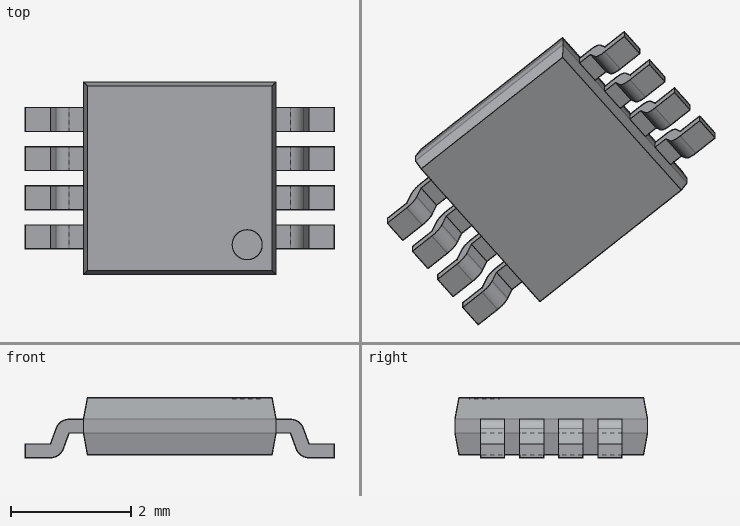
import cadquery as cq
import math

span_x = 5.14
total_height = 1.0

lead_thickness = 0.23

body_side = 3.2
body_height = 0.95
taper_inset = 0.065
band_height = lead_thickness
body_bottom = total_height - body_height
half_height = (body_height - band_height) / 2
band_bottom = body_bottom + half_height
band_top = band_bottom + band_height

leads_per_side = 4
lead_row_length = 1.95
lead_pitch = lead_row_length / (leads_per_side - 1)
lead_width = 0.4
lead_angle = math.radians(70)
bend_radius = lead_thickness
foot_length = 0.42

marker_x = 1.12
marker_y = -1.105
marker_diameter = 0.5
marker_thickness = 0.02
marker_sink = 0.005
recess_depth = marker_thickness + marker_sink


def make_tapered_half(base_z, direction):
    """Tapered slab from the band edge at base_z, going up (+1) or down (-1)."""
    top_side = body_side - 2 * taper_inset
    return (
        cq.Workplane("XY", origin=(0, 0, base_z))
        .rect(body_side, body_side)
        .workplane(offset=direction * half_height)
        .rect(top_side, top_side)
        .loft(ruled=True)
    )


def make_disc(diameter, thickness):
    """Disc at the marker position, standing on the floor of the recess."""
    floor_z = total_height - recess_depth
    return (
        cq.Workplane("XY", origin=(marker_x, marker_y, floor_z))
        .circle(diameter / 2)
        .extrude(thickness)
    )


def make_housing():
    band = (
        cq.Workplane("XY", origin=(0, 0, band_bottom))
        .rect(body_side, body_side)
        .extrude(band_height)
    )
    recess = make_disc(marker_diameter, recess_depth)
    upper_half = make_tapered_half(band_top, 1)
    lower_half = make_tapered_half(band_bottom, -1)
    return band.union(upper_half).union(lower_half).cut(recess)


def make_lead(y_center):
    """Lead on the +X side: each bend is sharp inside and round outside."""
    tip_x = span_x / 2
    root_x = body_side / 2

    leg_width_x = lead_thickness / math.sin(lead_angle)

    def leg_shift(rise):
        """How far the leg leans towards the housing over a given rise."""
        return rise / math.tan(lead_angle)

    foot_corner_x = tip_x - foot_length
    shoulder_outside_x = foot_corner_x - leg_shift(band_top - lead_thickness)
    shoulder_inside_x = foot_corner_x - leg_width_x - leg_shift(band_bottom - lead_thickness)
    heel_x = foot_corner_x - leg_width_x + leg_shift(lead_thickness)

    outline = [
        (root_x, band_bottom),
        (root_x, band_top),
        (shoulder_outside_x, band_top),
        (foot_corner_x, lead_thickness),
        (tip_x, lead_thickness),
        (tip_x, 0),
        (heel_x, 0),
        (shoulder_inside_x, band_bottom),
    ]
    sharp_lead = (
        cq.Workplane("XZ", origin=(0, y_center + lead_width / 2, 0))
        .polyline(outline)
        .close()
        .extrude(lead_width)
    )
    shoulder = cq.selectors.NearestToPointSelector((shoulder_outside_x, y_center, band_top))
    heel = cq.selectors.NearestToPointSelector((heel_x, y_center, 0))
    return sharp_lead.edges(shoulder + heel).fillet(bend_radius)


housing = make_housing()
marker = make_disc(marker_diameter, marker_thickness)

leads = []
for index in range(leads_per_side):
    y_center = (index - (leads_per_side - 1) / 2) * lead_pitch
    lead = make_lead(y_center)
    leads.append(lead.val())
    leads.append(lead.mirror("YZ").val())

result = cq.Compound.makeCompound([housing.val(), marker.val(), *leads])